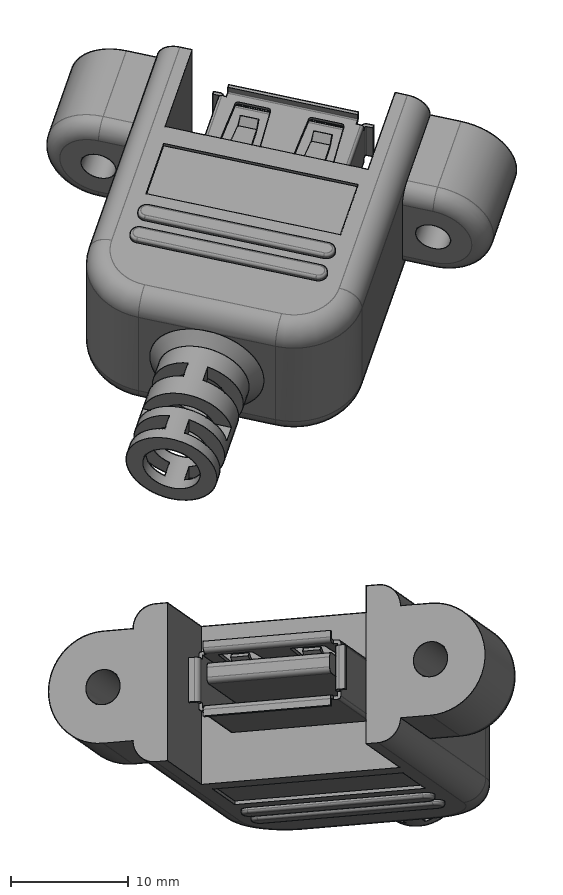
import cadquery as cq
import math

body_width = 24.05
body_length = 27.97
body_height = 13.83
body_corner_radius = 6.0
body_edge_radius = 2.0

bay_width = 17.85
bay_depth = 8.75

ear_radius = body_height / 2 - body_edge_radius
ear_hole_spacing = 29.45
ear_hole_diameter = 3.07
ear_depth = 9.0
ear_edge_radius = 1.5

label_width = 17.1
label_length = 5.7
label_center_y = -13.45
label_depth = 0.3
rib_length = 17.35
rib_width = 1.58
height_over_ribs = 14.75
rib_height = (height_over_ribs - body_height) / 2
rib_edge_radius = 0.255
rib_centers_y = (-18.4, -20.92)

sleeve_end_y = -39.4
sleeve_diameter = 8.0
sleeve_radius = sleeve_diameter / 2
sleeve_bore_radius = 2.52
collar_length = 1.02
slit_width = 1.5
slit_web = 1.75
side_slit_centers_y = (-31.65, -37.63)
top_slit_center_y = -35.1

shell_width = 12.75
shell_height = 5.2
shell_wall = 0.3
shell_corner_radius = 0.28
flange_reach = 0.67
flange_bend = 0.1
corner_notch_width = 0.67
corner_notch_depth = 0.8

tongue_width = 11.05
tongue_thickness = 1.8
tongue_top_z = 1.55
tongue_front_y = -0.4
tongue_edge_radius = 0.47

finger_spacing = 6.45
window_front_y = -1.1
window_root_y = -7.8
window_front_width = 3.07
window_root_width = 3.7
window_corner_radius = 0.28
finger_root_width = 2.05
finger_tip_width = 1.58
finger_bend_y = -3.15
finger_tip_y = -2.2
finger_drop = 0.6
finger_crest_y = -2.45
finger_crest_rise = 0.55


def make_body():
    body = (
        cq.Workplane("XY")
        .box(body_width, body_length, body_height)
        .translate((0, -body_length / 2, 0))
        .edges("|Z and <Y")
        .fillet(body_corner_radius)
    )
    rim = body.faces(">Z or <Z").edges("not >Y")
    return rim.fillet(body_edge_radius)


def make_ears():
    """Bar with round ends, running through the housing between both ears."""
    return (
        cq.Workplane("XZ")
        .slot2D(ear_hole_spacing + 2 * ear_radius, 2 * ear_radius)
        .extrude(ear_depth)
        .faces("<Y")
        .edges()
        .fillet(ear_edge_radius)
    )


def make_ear_holes():
    return (
        cq.Workplane("XZ")
        .pushPoints([(-ear_hole_spacing / 2, 0), (ear_hole_spacing / 2, 0)])
        .circle(ear_hole_diameter / 2)
        .extrude(ear_depth)
    )


def make_bay():
    return cq.Workplane("XY").box(bay_width, 2 * bay_depth, 2 * body_height)


def make_top_ribs():
    return (
        cq.Workplane("XY", origin=(0, 0, body_height / 2))
        .pushPoints([(0, y) for y in rib_centers_y])
        .slot2D(rib_length, rib_width)
        .extrude(rib_height)
        .faces(">Z")
        .edges()
        .fillet(rib_edge_radius)
    )


def make_top_label():
    return (
        cq.Workplane("XY", origin=(0, label_center_y, body_height / 2))
        .rect(label_width, label_length)
        .extrude(-label_depth)
    )


def make_sleeve():
    """Turned sleeve with a 45 degree collar rooted inside the housing wall."""
    root_y = -body_length + body_edge_radius
    collar_end_y = -body_length - collar_length
    collar_radius = sleeve_radius + collar_length
    profile = (
        cq.Workplane("XY")
        .moveTo(0, root_y)
        .lineTo(collar_radius, root_y)
        .lineTo(collar_radius, -body_length)
        .lineTo(sleeve_radius, collar_end_y)
        .lineTo(sleeve_radius, sleeve_end_y)
        .lineTo(0, sleeve_end_y)
        .close()
    )
    return profile.revolve(360, (0, 0, 0), (0, 1, 0))


def make_sleeve_cuts():
    """Blind bore plus slit pairs that leave two narrow webs each."""
    bore_length = -sleeve_end_y - body_length
    cuts = (
        cq.Workplane("XZ", origin=(0, -body_length, 0))
        .circle(sleeve_bore_radius)
        .extrude(bore_length)
    )
    slit = cq.Workplane("XY").box(2 * sleeve_radius, slit_width, 2 * sleeve_radius)
    slit_offset = slit_web / 2 + sleeve_radius
    for side in (-1, 1):
        for y in side_slit_centers_y:
            cuts = cuts.union(slit.translate((side * slit_offset, y, 0)))
        cuts = cuts.union(slit.translate((0, top_slit_center_y, side * slit_offset)))
    return cuts


def make_flange(face_distance, width):
    """Sheet strip bent outward at the mouth, on the wall at +Z = face_distance."""
    inner = face_distance - shell_wall
    inner_bend = flange_bend + shell_wall
    bend_start = -shell_wall - flange_bend
    half = math.sqrt(0.5)
    outer_mid = (bend_start + flange_bend * half, face_distance + flange_bend * (1 - half))
    inner_mid = (bend_start + inner_bend * half, inner + inner_bend * (1 - half))
    return (
        cq.Workplane("YZ")
        .moveTo(-corner_notch_depth, inner)
        .lineTo(-corner_notch_depth, face_distance)
        .lineTo(bend_start, face_distance)
        .threePointArc(outer_mid, (-shell_wall, face_distance + flange_bend))
        .lineTo(-shell_wall, face_distance + flange_reach)
        .lineTo(0, face_distance + flange_reach)
        .lineTo(0, inner + inner_bend)
        .threePointArc(inner_mid, (bend_start, inner))
        .close()
        .extrude(width / 2, both=True)
    )


def make_shell():
    """Hollow sheet box closed by the housing, with a flared flange on each wall."""
    length = bay_depth - corner_notch_depth
    shell = (
        cq.Workplane("XZ", origin=(0, -corner_notch_depth, 0))
        .rect(shell_width, shell_height)
        .extrude(length)
        .edges("|Y")
        .fillet(shell_corner_radius)
    )
    cavity = (
        cq.Workplane("XZ", origin=(0, -corner_notch_depth, 0))
        .rect(shell_width - 2 * shell_wall, shell_height - 2 * shell_wall)
        .extrude(length)
    )
    shell = shell.cut(cavity)
    top_flange = make_flange(shell_height / 2, shell_width - 2 * corner_notch_width)
    side_flange = make_flange(shell_width / 2, shell_height - 2 * corner_notch_width)
    for turn in (0, 180):
        shell = shell.union(top_flange.rotate((0, 0, 0), (0, 1, 0), turn))
        shell = shell.union(side_flange.rotate((0, 0, 0), (0, 1, 0), turn + 90))
    return shell


def make_tongue():
    length = bay_depth + tongue_front_y
    center = (0, tongue_front_y - length / 2, tongue_top_z - tongue_thickness / 2)
    return (
        cq.Workplane("XY")
        .box(tongue_width, length, tongue_thickness)
        .translate(center)
        .edges("|X and >Y")
        .fillet(tongue_edge_radius)
    )


def tapered_outline(front_y, front_width, root_width):
    """Trapezoid in plan, from the finger root to front_y."""
    return cq.Workplane("XY").polyline([
        (-root_width / 2, window_root_y),
        (root_width / 2, window_root_y),
        (front_width / 2, front_y),
        (-front_width / 2, front_y),
    ]).close()


def make_window():
    return (
        tapered_outline(window_front_y, window_front_width, window_root_width)
        .extrude(shell_height)
        .edges("|Z")
        .fillet(window_corner_radius)
    )


def make_finger():
    """Sheet finger that slopes into the shell and curls up at its tip."""
    top = shell_height / 2
    low = top - finger_drop
    crest = low + finger_crest_rise
    strip = (
        cq.Workplane("YZ")
        .polyline([
            (window_root_y - shell_wall, top),
            (window_root_y, top),
            (finger_bend_y, low),
            (finger_crest_y, crest),
            (finger_tip_y, crest - shell_wall),
            (finger_bend_y, low - shell_wall),
            (window_root_y, top - shell_wall),
            (window_root_y - shell_wall, top - shell_wall),
        ])
        .close()
        .extrude(finger_root_width, both=True)
    )
    plan = tapered_outline(finger_tip_y, finger_tip_width, finger_root_width).extrude(shell_height)
    return strip.intersect(plan)


def make_socket():
    socket = make_shell()
    for side in (-1, 1):
        shift = (side * finger_spacing / 2, 0, 0)
        socket = socket.cut(make_window().translate(shift))
        socket = socket.union(make_finger().translate(shift))
    return socket.union(make_tongue())


ribs = make_top_ribs()
label = make_top_label()
result = (
    make_body()
    .union(make_ears())
    .cut(make_bay())
    .cut(make_ear_holes())
    .union(make_sleeve())
    .cut(make_sleeve_cuts())
    .cut(label)
    .cut(label.mirror("XY"))
    .union(ribs)
    .union(ribs.mirror("XY"))
    .union(make_socket())
)